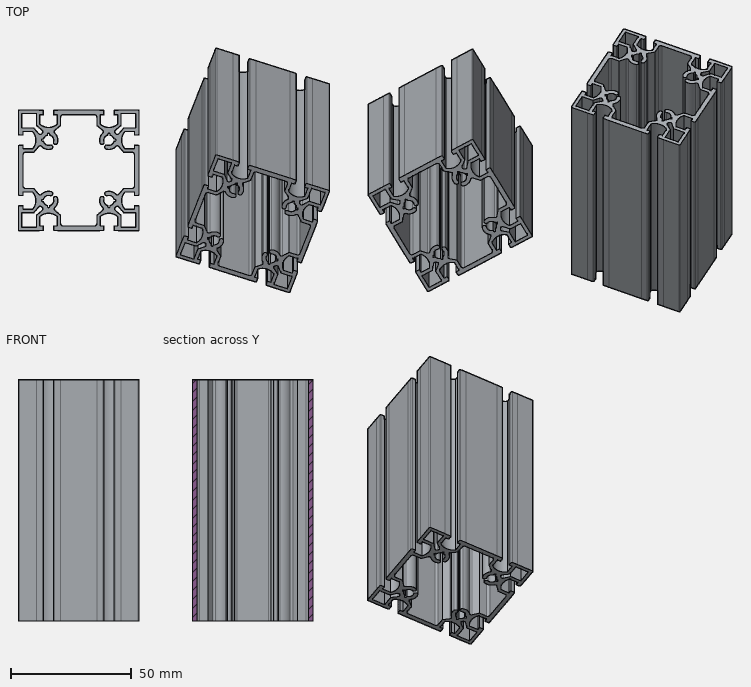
import cadquery as cq
import math


side = 50.0
length = 100.0
half_side = side / 2

face_wall = 2.0
corner_wall = 1.5
slot_wall = 1.5

slot_centre = 12.5
slot_opening = 4.2
slot_width = 7.1
slot_side_depth = 5.9
slot_floor_depth = 7.2
lip_slope = 0.9
lip_slope_half_width = 5.0

flank_half_width = slot_width / 2 + slot_wall
flank_depth = 6.4

ring_outer_radius = 3.9
ring_inner_radius = 2.1
arm_end_angle = 17.0
notch_width = 0.8
notch_reach = 2.9

taper_half_width = 1.9
taper_depth = slot_centre - math.sqrt(ring_outer_radius**2 - taper_half_width**2)

lip_radius = 0.4
outer_corner_radius = 0.4
cavity_corner_radius = 1.0
ring_root_radius = 0.8


def prism(outline):
    """Extrude a closed outline over the full length."""
    return outline.extrude(length)


def block(x_min, y_min, x_max, y_max):
    """Full-length block between two opposite corners."""
    outline = cq.Workplane("XY").moveTo(x_min, y_min).lineTo(x_max, y_min)
    return prism(outline.lineTo(x_max, y_max).lineTo(x_min, y_max).close())


def rod(x, y, radius):
    """Full-length round bar."""
    return prism(cq.Workplane("XY").center(x, y).circle(radius))


def swap_xy(body):
    """Mirror across the diagonal of the corner, exchanging X and Y."""
    return body.mirror("XZ").rotate((0, 0, 0), (0, 0, 1), 90)


def on_both_faces(body):
    """The body for the face along X, joined with its copy for the face along Y."""
    return body.union(swap_xy(body))


def outer_walls():
    """Corner wall up to the slot and the thicker face wall beyond it."""
    flank_start = slot_centre - flank_half_width
    thin = block(0, 0, flank_start, corner_wall)
    thick = block(flank_start, 0, half_side, face_wall)
    return on_both_faces(thin.union(thick))


def slot_surround():
    """Solid around one slot, tapering into the screw channel."""
    outline = cq.Workplane("XY").polyline([
        (slot_centre - flank_half_width, 0),
        (slot_centre + flank_half_width, 0),
        (slot_centre + flank_half_width, flank_depth),
        (slot_centre + taper_half_width, taper_depth),
        (slot_centre, slot_centre),
        (slot_centre - taper_half_width, taper_depth),
        (slot_centre - flank_half_width, flank_depth),
    ]).close()
    return prism(outline)


def slot_space():
    """Empty space of one slot: narrow mouth, wide chamber, curved floor."""
    left = slot_centre - slot_width / 2
    right = slot_centre + slot_width / 2
    chamber = prism(
        cq.Workplane("XY")
        .moveTo(left, face_wall)
        .lineTo(right, face_wall)
        .lineTo(right, slot_side_depth)
        .threePointArc((slot_centre, slot_floor_depth), (left, slot_side_depth))
        .close()
    )
    mouth = block(slot_centre - slot_opening / 2, 0, slot_centre + slot_opening / 2, face_wall)
    return chamber.union(mouth)


def lip_relief():
    """Very shallow V across one slot that makes its lips sink towards the mouth."""
    depth = lip_slope_half_width * math.tan(math.radians(lip_slope))
    outline = cq.Workplane("XY").polyline([
        (slot_centre - lip_slope_half_width, 0),
        (slot_centre + lip_slope_half_width, 0),
        (slot_centre, depth),
    ]).close()
    return prism(outline)


def screw_hole():
    """Round hole of the screw channel, with a notch towards each slot floor."""
    notch_radius = notch_width / 2
    notch_end = slot_centre - notch_reach + notch_radius
    notch = block(slot_centre - notch_radius, notch_end, slot_centre + notch_radius, slot_centre)
    notch = notch.union(rod(slot_centre, notch_end, notch_radius))
    return rod(slot_centre, slot_centre, ring_inner_radius).union(on_both_faces(notch))


def arm_gap():
    """Wedge that opens the ring between its two arms."""
    reach = 2 * ring_outer_radius
    end = math.radians(arm_end_angle)
    across = reach * math.cos(end)
    along = reach * math.sin(end)
    return prism(
        cq.Workplane("XY")
        .moveTo(slot_centre, slot_centre)
        .lineTo(slot_centre + across, slot_centre + along)
        .lineTo(slot_centre + along, slot_centre + across)
        .close()
    )


def arm_tips():
    """Round ends of the two arms."""
    middle_radius = (ring_outer_radius + ring_inner_radius) / 2
    tip_radius = (ring_outer_radius - ring_inner_radius) / 2
    end = math.radians(arm_end_angle)
    tip = rod(
        slot_centre + middle_radius * math.cos(end),
        slot_centre + middle_radius * math.sin(end),
        tip_radius,
    )
    return on_both_faces(tip)


def round_edges(body, points, radius):
    """Round the lengthwise edges that pass through the given points, and their mirror images."""
    for x, y in points:
        for edge_x, edge_y in {(x, y), (y, x)}:
            edge = cq.selectors.NearestToPointSelector((edge_x, edge_y, length / 2))
            body = body.edges("|Z").edges(edge).fillet(radius)
    return body


def corner():
    """One complete corner of the profile, with its two slots and its screw channel."""
    body = outer_walls().union(on_both_faces(slot_surround()))
    body = body.union(rod(slot_centre, slot_centre, ring_outer_radius))
    ring_roots = [
        (slot_centre - taper_half_width, taper_depth),
        (slot_centre + taper_half_width, taper_depth),
    ]
    body = round_edges(body, ring_roots, ring_root_radius)
    cavity_corner = (slot_centre + flank_half_width, face_wall)
    body = round_edges(body, [cavity_corner], cavity_corner_radius)

    body = round_edges(body, [(0, 0)], outer_corner_radius)

    body = body.cut(on_both_faces(slot_space())).cut(on_both_faces(lip_relief()))
    lip_edges = [
        (slot_centre - slot_opening / 2, 0),
        (slot_centre + slot_opening / 2, 0),
    ]
    body = round_edges(body, lip_edges, lip_radius)
    return body.cut(arm_gap()).cut(screw_hole()).union(arm_tips())


quarter = corner().translate((-half_side, -half_side, 0))
result = quarter
for turn in (90, 180, 270):
    result = result.union(quarter.rotate((0, 0, 0), (0, 0, 1), turn))
result = result.clean()